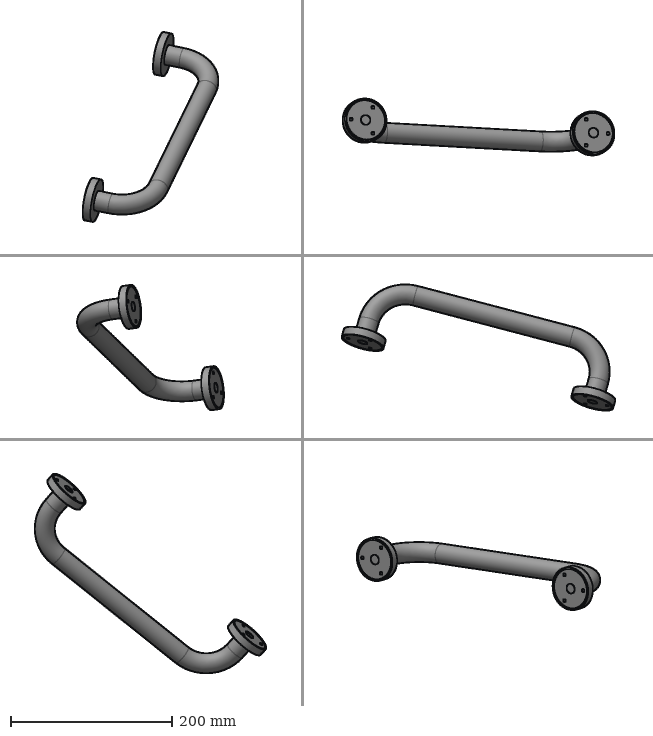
import cadquery as cq
import math

overall_length = 349.0
overall_depth = 88.5

bar_diameter = 25.0
bend_radius = 46.8

flange_diameter = 54.0
flange_thickness = 10.0
flange_offset = 1.0

plate_diameter = 49.5
plate_recess = 0.5
center_hole_diameter = 12.2
screw_hole_diameter = 4.0
screw_circle_radius = 19.0
screw_count = 3
hole_depth = 0.5

flange_y = (overall_length - flange_diameter) / 2
grip_x = overall_depth - bar_diameter / 2
bend_start_x = grip_x - bend_radius
bend_end_y = flange_y - bend_radius
bend_diagonal = bend_radius * math.sin(math.radians(45))


def disc(diameter, thickness, x, y, z=0.0):
    """Disc with its axis along X, growing toward +X from the given point."""
    return cq.Workplane("YZ", origin=(x, y, z)).circle(diameter / 2).extrude(thickness)


def make_bar():
    """Round bar: leg, quarter bend, straight grip, quarter bend, leg."""
    bar_start_x = flange_offset + flange_thickness / 2
    path = (
        cq.Workplane("XY")
        .moveTo(bar_start_x, flange_y)
        .lineTo(bend_start_x, flange_y)
        .threePointArc((bend_start_x + bend_diagonal, bend_end_y + bend_diagonal), (grip_x, bend_end_y))
        .lineTo(grip_x, -bend_end_y)
        .threePointArc((bend_start_x + bend_diagonal, -bend_end_y - bend_diagonal), (bend_start_x, -flange_y))
        .lineTo(bar_start_x, -flange_y)
    )
    profile = cq.Workplane("YZ", origin=(bar_start_x, flange_y, 0)).circle(bar_diameter / 2)
    return profile.sweep(path)


def make_flange(side, wall_x):
    """Flange at Y = side * flange_y, with one screw hole pointing outward."""
    center_y = side * flange_y
    flange = disc(flange_diameter, flange_thickness, wall_x, center_y)
    flange = flange.cut(disc(plate_diameter, plate_recess, wall_x, center_y))
    plate_x = wall_x + plate_recess
    flange = flange.cut(disc(center_hole_diameter, hole_depth, plate_x, center_y))
    for index in range(screw_count):
        angle = 2 * math.pi * index / screw_count
        hole_y = center_y + side * screw_circle_radius * math.cos(angle)
        hole_z = screw_circle_radius * math.sin(angle)
        flange = flange.cut(disc(screw_hole_diameter, hole_depth, plate_x, hole_y, hole_z))
    return flange


result = make_bar().union(make_flange(1, 0.0)).union(make_flange(-1, flange_offset))

result = result.translate((-overall_depth / 2, 0, 0))